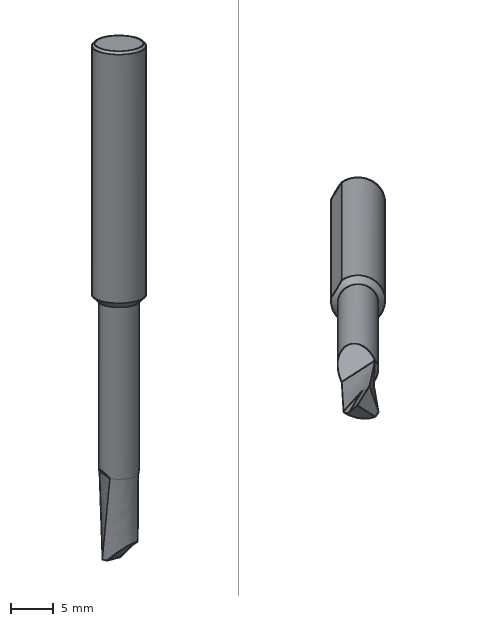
import cadquery as cq
import math

total_length = 63.5
shank_radius = 3.2
shank_flat_y = 2.9
shank_bottom = 32.5
top_chamfer = 0.3
neck_diameter = 4.75
neck_radius = neck_diameter / 2
neck_bottom = 10.55
runout_slope = 1.2

tip_radius = 2.65
tip_angles = (180.0, 264.0, 8.0)
root_angles = (207.0, 286.0, 23.5)

end_rise_x = 0.04
end_rise_y = -0.12
lead_start_x = 0.2
lead_start_z = 0.1
rake_land_height = 2.1
cutter_size = 12.7


def polar(radius, angle):
    radians = math.radians(angle)
    return (radius * math.cos(radians), radius * math.sin(radians))


def make_shank():
    """Flatted shank with a 45 degree cone down to the neck."""
    cone_end = shank_bottom - (shank_radius - neck_radius)
    body = (
        cq.Workplane("XZ")
        .moveTo(0, neck_bottom)
        .lineTo(neck_radius, neck_bottom)
        .lineTo(neck_radius, cone_end)
        .lineTo(shank_radius, shank_bottom)
        .lineTo(shank_radius, total_length - top_chamfer)
        .lineTo(shank_radius - top_chamfer, total_length)
        .lineTo(0, total_length)
        .close()
        .revolve(360, (0, 0), (0, 1))
    )
    flat_cutter = (
        cq.Workplane("XY")
        .box(cutter_size, cutter_size, total_length, centered=(True, False, False))
        .translate((0, shank_flat_y, 0))
    )
    return body.cut(flat_cutter)


def runout_cutter(start, end):
    """Wedge under the neck, rising outward (left of start to end) from the root chord."""
    along = cq.Vector(end[0] - start[0], end[1] - start[1], 0).normalized()
    outward = cq.Vector(-along.y, along.x, 0)
    origin = (start[0], start[1], neck_bottom)
    plane = cq.Plane(origin=origin, xDir=outward, normal=along)
    reach = 2 * shank_radius
    return (
        cq.Workplane(plane)
        .polyline([(0, 0), (reach, 0), (reach, reach * runout_slope)])
        .close()
        .extrude(cutter_size, both=True)
    )


def blade_section(radius, angles, height):
    """Rake chord, outer arc and relief chord through the three corners."""
    edge_angle, heel_angle, back_angle = angles
    middle_angle = (heel_angle + back_angle + 360) / 2
    edge, heel, back = (polar(radius, angle) for angle in angles)
    outline = (
        cq.Workplane("XY", origin=(0, 0, height))
        .moveTo(*edge)
        .lineTo(*heel)
        .threePointArc(polar(radius, middle_angle), back)
        .close()
    )
    return outline.val()


def make_blade():
    sections = [
        blade_section(tip_radius, tip_angles, 0),
        blade_section(neck_radius, root_angles, neck_bottom),
    ]
    return cq.Workplane(cq.Solid.makeLoft(sections, True))


def end_cutter():
    """Space below the end face, which rises from the tip toward +X and -Y."""
    tip = polar(tip_radius, tip_angles[0])
    plane = cq.Plane(origin=(tip[0], tip[1], 0), normal=(-end_rise_x, -end_rise_y, 1))
    return cq.Workplane(plane).rect(2 * cutter_size, 2 * cutter_size).extrude(-cutter_size)


def lead_cutter():
    """45 degree lead chamfer on the +X side of the tip."""
    return (
        cq.Workplane("XZ", origin=(lead_start_x, 0, lead_start_z))
        .polyline([
            (-shank_radius, -shank_radius),
            (shank_radius, shank_radius),
            (shank_radius, -shank_radius),
        ])
        .close()
        .extrude(cutter_size, both=True)
    )


def rake_land_cutter():
    """Flat land at Y = 0 behind the lead edge, with a 45 degree run-out."""
    return (
        cq.Workplane("YZ")
        .polyline([
            (0, -rake_land_height),
            (0, rake_land_height),
            (shank_radius, rake_land_height + shank_radius),
            (shank_radius, -rake_land_height),
        ])
        .close()
        .extrude(cutter_size, both=True)
    )


root_edge, root_heel, root_back = (polar(neck_radius, angle) for angle in root_angles)
holder = (
    make_shank()
    .cut(runout_cutter(root_edge, root_back))
    .cut(runout_cutter(root_heel, root_edge))
)
blade = make_blade().cut(end_cutter()).cut(lead_cutter()).cut(rake_land_cutter())
result = holder.union(blade)